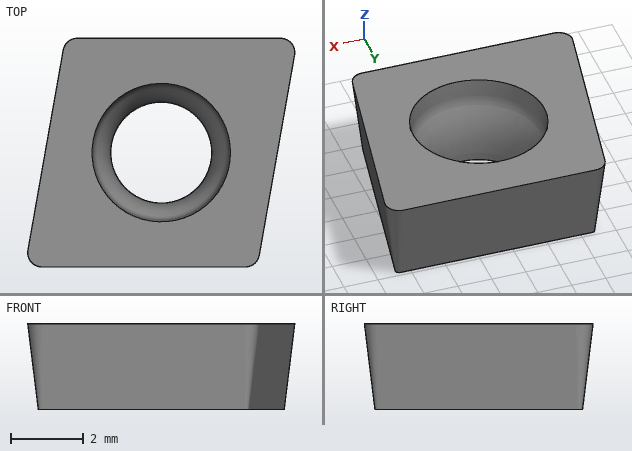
import cadquery as cq
import math

length = 7.42
thickness = 2.38
acute_angle = 80.0
corner_radius = 0.4
clearance_angle = 7.0

rim_radius = 1.92
wall_end_radius = 1.87
wall_end_depth = 0.53
seat_radius = 1.795
seat_depth = 0.79
bore_radius = 2.8 / 2
bore_depth = 2.15


def make_plate():
    """Rounded rhombus, centred on the origin, narrowing below the top face."""
    angle = math.radians(acute_angle)
    centre_side = (length - 2 * corner_radius) / (1 + math.cos(angle))
    side = centre_side + 2 * corner_radius / math.sin(angle)
    half_lean = side * math.cos(angle) / 2
    half_width = side * math.sin(angle) / 2
    corners = [
        (-side / 2 - half_lean, -half_width),
        (side / 2 - half_lean, -half_width),
        (side / 2 + half_lean, half_width),
        (-side / 2 + half_lean, half_width),
    ]
    outline = cq.Sketch().polygon(corners + corners[:1]).vertices().fillet(corner_radius)
    return (
        cq.Workplane("XY")
        .workplane(offset=thickness)
        .placeSketch(outline)
        .extrude(-thickness, taper=clearance_angle)
    )


def make_screw_hole():
    """Revolved hole: conical wall, concave blend, convex seat and straight bore."""
    wall_end_z = thickness - wall_end_depth
    seat_z = thickness - seat_depth
    bore_z = thickness - bore_depth

    seat_inset = seat_radius - bore_radius
    seat_height = seat_z - bore_z
    seat_arc_radius = (seat_inset**2 + seat_height**2) / (2 * seat_inset)
    half_sweep = math.atan2(seat_inset, seat_height)
    seat_middle = (
        bore_radius + seat_arc_radius * (1 - math.cos(half_sweep)),
        bore_z + seat_arc_radius * math.sin(half_sweep),
    )

    return (
        cq.Workplane("XZ")
        .moveTo(0, thickness)
        .lineTo(rim_radius, thickness)
        .lineTo(wall_end_radius, wall_end_z)
        .tangentArcPoint((seat_radius, seat_z), relative=False)
        .threePointArc(seat_middle, (bore_radius, bore_z))
        .lineTo(bore_radius, 0)
        .lineTo(0, 0)
        .close()
        .revolve(360, (0, 0, 0), (0, 1, 0))
    )


result = make_plate().cut(make_screw_hole())